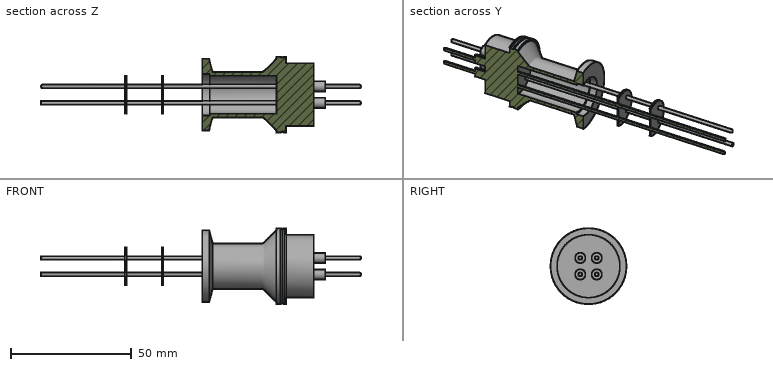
import cadquery as cq
import math


overall_length = 133.35
rod_start_x = -67.1
rod_end_x = rod_start_x + overall_length
rod_radius = 1.6 / 2
rod_pitch = 6.86

flange_radius = 30.0 / 2
flange_rim_width = 3.0
flange_taper_angle = 15.0
flange_bore_radius = 17.2 / 2
flange_bore_depth = 3.2

tube_radius = 19.05 / 2
tube_bore_radius = 15.75 / 2

cone_angle = 45.0
cone_start_x = 25.45
cone_length = 5.5
cone_root_fillet = 1.13

ring_radius = 31.75 / 2
ring_start_x = cone_start_x + cone_length
ring_end_x = 35.0
groove_center_x = 33.4
groove_half_width = 0.8
groove_depth = 0.45

header_radius = 26.2 / 2
header_end_x = 46.6

sleeve_radius = 4.3 / 2
sleeve_length = 4.8

disc_radius = 15.75 / 2
disc_thickness = 0.8
disc_start_positions = (-32.1, -16.85)


def cylinder_along_x(start_x, length, radius, y=0.0, z=0.0):
    """Solid cylinder parallel to X, starting at start_x."""
    return cq.Workplane("YZ", origin=(start_x, y, z)).circle(radius).extrude(length)


def revolve_about_x(profile):
    """Full turn of a closed half profile about its own local X axis."""
    return profile.close().revolve(360, (0, 0, 0), (1, 0, 0))


def make_body():
    """Flange, tube, cone, ring and header as one revolved solid with an open bore."""
    taper_length = (flange_radius - tube_radius) * math.tan(math.radians(flange_taper_angle))
    cone_slope = math.radians(cone_angle)
    cone_end_radius = tube_radius + cone_length * math.tan(cone_slope)

    root_reach = cone_root_fillet * math.tan(cone_slope / 2)
    root_start_x = cone_start_x - root_reach
    root_end_x = cone_start_x + root_reach * math.cos(cone_slope)
    root_end_radius = tube_radius + root_reach * math.sin(cone_slope)
    root_middle = (
        root_start_x + cone_root_fillet * math.sin(cone_slope / 2),
        tube_radius + cone_root_fillet * (1 - math.cos(cone_slope / 2)),
    )

    profile = (
        cq.Workplane("XZ")
        .moveTo(0, flange_bore_radius)
        .lineTo(0, flange_radius)
        .lineTo(flange_rim_width, flange_radius)
        .lineTo(flange_rim_width + taper_length, tube_radius)
        .lineTo(root_start_x, tube_radius)
        .threePointArc(root_middle, (root_end_x, root_end_radius))
        .lineTo(ring_start_x, cone_end_radius)
        .lineTo(ring_start_x, ring_radius)
        .lineTo(groove_center_x - groove_half_width, ring_radius)
        .lineTo(groove_center_x, ring_radius - groove_depth)
        .lineTo(groove_center_x + groove_half_width, ring_radius)
        .lineTo(ring_end_x, ring_radius)
        .lineTo(ring_end_x, header_radius)
        .lineTo(header_end_x, header_radius)
        .lineTo(header_end_x, 0)
        .lineTo(ring_start_x, 0)
        .lineTo(ring_start_x, tube_bore_radius)
        .lineTo(flange_bore_depth, tube_bore_radius)
        .lineTo(flange_bore_depth, flange_bore_radius)
    )
    return revolve_about_x(profile)


def make_rod(y, z, start_is_rounded):
    """Rod with its sleeve. The +X end is a hemisphere, the -X end is a hemisphere or flat."""
    arc_offset = rod_radius * math.sin(math.radians(45))
    start_center_x = rod_start_x + rod_radius
    end_center_x = rod_end_x - rod_radius

    profile = cq.Workplane("XZ", origin=(0, y, z)).moveTo(rod_start_x, 0)
    if start_is_rounded:
        profile = profile.threePointArc(
            (start_center_x - arc_offset, arc_offset),
            (start_center_x, rod_radius),
        )
    else:
        profile = profile.lineTo(rod_start_x, rod_radius)
    profile = profile.lineTo(end_center_x, rod_radius).threePointArc(
        (end_center_x + arc_offset, arc_offset),
        (rod_end_x, 0),
    )

    sleeve = cylinder_along_x(header_end_x, sleeve_length, sleeve_radius, y, z)
    return revolve_about_x(profile).union(sleeve)


result = make_body()

for disc_start_x in disc_start_positions:
    result = result.union(cylinder_along_x(disc_start_x, disc_thickness, disc_radius))

for y_side in (-1, 1):
    for z_side in (-1, 1):
        rod = make_rod(y_side * rod_pitch / 2, z_side * rod_pitch / 2, y_side != z_side)
        result = result.union(rod)